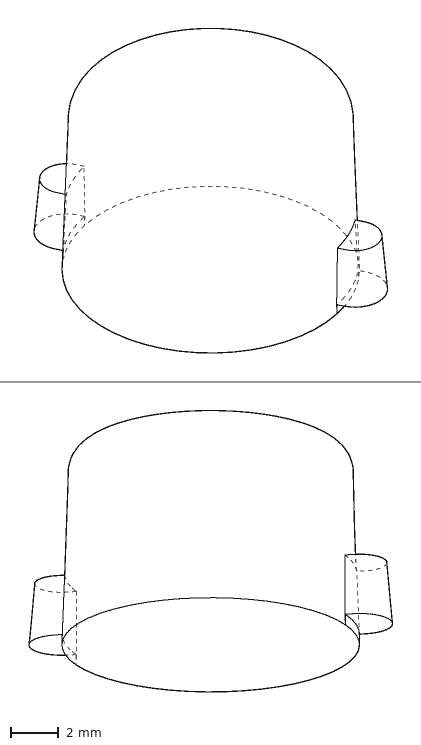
import cadquery as cq
import math

cap_height = 8.6
base_radius = 6.205
wall_taper = math.radians(2)
rim_taper = math.radians(1)
rim_height = 1.5
top_edge_radius = 1.0

overall_length = 15.474
lug_bottom = 0.46
lug_top = 3.15
lug_width = 2.7
lug_draft = 5


def make_cap():
    """Solid tapered cap with a steeper rim band and a rounded top edge."""
    wall_height = cap_height - rim_height
    wall_top_radius = base_radius - wall_height * math.tan(wall_taper)
    tangent_height = cap_height - top_edge_radius + top_edge_radius * math.sin(rim_taper)
    tangent_radius = wall_top_radius - (tangent_height - wall_height) * math.tan(rim_taper)
    flat_radius = tangent_radius - top_edge_radius * math.cos(rim_taper)
    profile = (
        cq.Workplane("XZ")
        .lineTo(base_radius, 0)
        .lineTo(wall_top_radius, wall_height)
        .lineTo(tangent_radius, tangent_height)
        .radiusArc((flat_radius, cap_height), -top_edge_radius)
        .lineTo(0, cap_height)
        .close()
    )
    return profile.revolve(360, (0, 0, 0), (0, 1, 0))


def make_lug_bar():
    """Drafted round-ended bar through the cap; its two ends form the lugs."""
    return (
        cq.Workplane("XY")
        .workplane(offset=lug_bottom)
        .slot2D(overall_length, lug_width)
        .extrude(lug_top - lug_bottom, taper=lug_draft)
    )


def make_lug_feet():
    """Straight-walled strips under the lugs, keeping the base radius up to the lug underside."""
    strip = cq.Workplane("XY").rect(overall_length, lug_width).extrude(lug_bottom)
    return cq.Workplane("XY").circle(base_radius).extrude(lug_bottom).intersect(strip)


result = make_cap().union(make_lug_bar()).union(make_lug_feet())